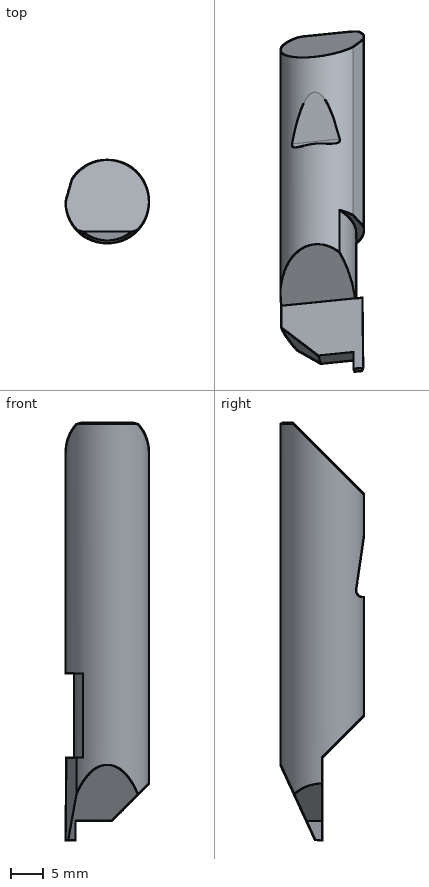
import cadquery as cq
import math


shank_diameter = 12.7
radius = shank_diameter / 2
length = 63.5
clear = 2.0

top_chamfer_width = 0.45
top_chamfer_angle = 30.0
top_chamfer_height = top_chamfer_width * math.tan(math.radians(top_chamfer_angle))
top_bevel_start_y = -4.55

flat_angle = 16.0

clamp_floor_z = 37.0
clamp_angle = 8.3
clamp_depth = 1.35
clamp_fillet = 1.0

recess_bottom_z = 12.6
recess_top_z = 25.4
recess_half_width = 5.2
recess_x = -5.08

rake_top_z = 12.6
underside_angle = 24.7
tip_land = 1.1
tip_end_relief = 6.0
relief_y = -4.3
edge_setback = 0.12
tip_inner_x = -4.8
ledge_z = 3.0
ledge_end_x = 0.65


def prism_along_x(points):
    """Solid from an outline in Y and Z, reaching across the whole part in X."""
    return cq.Workplane("YZ").polyline(points).close().extrude(radius + clear, both=True)


def prism_along_y(points):
    """Solid from an outline in X and Z, reaching across the whole part in Y."""
    return cq.Workplane("XZ").polyline(points).close().extrude(radius + clear, both=True)


def shank():
    body = cq.Workplane("XY").circle(radius).extrude(length)
    return body.faces(">Z").chamfer(top_chamfer_height, top_chamfer_width)


def top_bevel():
    """45 degree bevel from the top face down the +Y side."""
    reach = radius + clear - top_bevel_start_y
    return prism_along_x([
        (top_bevel_start_y - clear, length + clear),
        (top_bevel_start_y, length),
        (top_bevel_start_y + reach, length - reach),
        (top_bevel_start_y + reach, length + clear),
    ])


def side_flat():
    """Flat that starts at the -X extreme of the shank and leans inward toward +Y."""
    angle = math.radians(flat_angle)
    chord = 2 * radius * math.sin(angle)
    end = (-radius + chord * math.sin(angle), chord * math.cos(angle))
    outline = [(-radius, 0), end, (-radius - clear, end[1])]
    return cq.Workplane("XY").polyline(outline).close().extrude(length)


def clamp_notch():
    """Tilted clamping face ending in a level floor with a rounded corner."""
    outer_y = radius + clear
    rise = (clear + clamp_depth) / math.tan(math.radians(clamp_angle))
    notch = prism_along_x([
        (radius - clamp_depth, clamp_floor_z),
        (outer_y, clamp_floor_z),
        (outer_y, clamp_floor_z + rise),
    ])
    return notch.edges("|X and <Y").fillet(clamp_fillet)


def side_recess():
    """Recess with a floor that bulges outward in a single arc."""
    outer_x = -radius - clear
    end_x = -math.sqrt(radius**2 - recess_half_width**2)
    return (
        cq.Workplane("XY", origin=(0, 0, recess_bottom_z))
        .moveTo(end_x, -recess_half_width)
        .threePointArc((recess_x, 0), (end_x, recess_half_width))
        .lineTo(outer_x, recess_half_width)
        .lineTo(outer_x, -recess_half_width)
        .close()
        .extrude(recess_top_z - recess_bottom_z)
    )


def rake_cut():
    """Removes the +Y half of the cutting end, with a 45 degree run-out."""
    outer_y = radius + clear
    return prism_along_x([
        (0, -clear),
        (outer_y, -clear),
        (outer_y, rake_top_z + outer_y),
        (0, rake_top_z),
    ])


def underside_cut():
    """Sloped underside on the -Y side, and the relieved end face of the tip."""
    land_z = tip_land * math.tan(math.radians(tip_end_relief))
    outer_y = radius + clear
    slope_rise = (outer_y - tip_land) / math.tan(math.radians(underside_angle))
    return prism_along_x([
        (0, 0),
        (-tip_land, land_z),
        (-outer_y, land_z + slope_rise),
        (-outer_y, -clear),
        (0, -clear),
    ])


def end_clearance():
    """Level ledge beside the tip and a 45 degree corner up to the +X side."""
    outer_x = radius + clear
    return prism_along_y([
        (tip_inner_x, -clear),
        (tip_inner_x, ledge_z),
        (ledge_end_x, ledge_z),
        (outer_x, ledge_z + outer_x - ledge_end_x),
        (outer_x, -clear),
    ])


def side_relief():
    """Twisted relief face behind the cutting edge, on the -X side of the tip."""
    relief_x = -math.sqrt(radius**2 - relief_y**2)
    outer_x = -radius - clear

    def section(edge_x):
        return [(edge_x, 0), (relief_x, relief_y), (outer_x, relief_y), (outer_x, 0)]

    return (
        cq.Workplane("XY")
        .polyline(section(-radius)).close()
        .workplane(offset=recess_bottom_z)
        .polyline(section(-radius + edge_setback)).close()
        .loft(ruled=True)
    )


cutters = [
    top_bevel(),
    side_flat(),
    clamp_notch(),
    side_recess(),
    rake_cut(),
    underside_cut(),
    end_clearance(),
    side_relief(),
]

result = shank()
for cutter in cutters:
    result = result.cut(cutter)